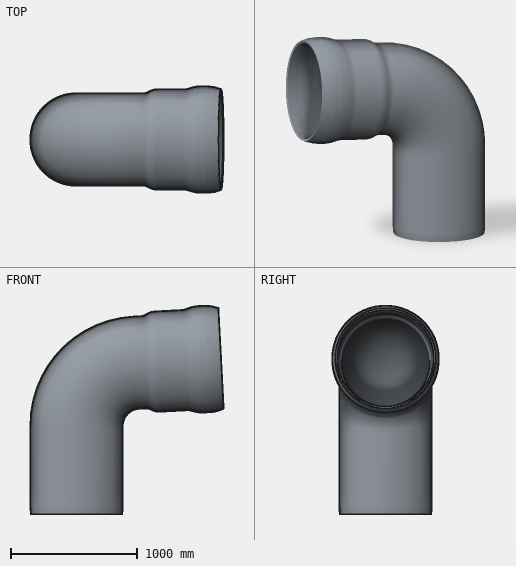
import cadquery as cq
import math

pipe_radius = 365.0
wall = 16.0
straight_length = 699.0
bend_radius = 497.0
bend_angle = 87.0

lead_in_height = 56.0
lead_in_depth = 5.0
lead_in_blend = 5.0

socket_radius = 396.0
bulge_radius = 421.0
mouth_radius = 396.0

neck_start = 60.0
neck_inflection = 102.0
neck_end = 166.0
bulge_start = 380.0
bulge_inflection = 423.0
crest_start = 510.0
crest_end = 558.0
mouth = 670.0
rim_recess = 7.0


def ease_out_arc(profile, start, end):
    """Add an arc that leaves `start` parallel to the axis and ends at `end`."""
    return profile.threePointArc(arc_middle(start, end), end)


def ease_in_arc(profile, start, end):
    """Add an arc from `start` that arrives at `end` parallel to the axis."""
    return profile.threePointArc(arc_middle(end, start), end)


def arc_middle(level_end, other_end):
    """Midpoint of an arc whose tangent at `level_end` is parallel to the axis.

    Points are (radius, station).
    """
    rise = other_end[0] - level_end[0]
    run = other_end[1] - level_end[1]
    sweep = 2 * math.atan2(abs(rise), abs(run))
    arc_radius = abs(run) / math.sin(sweep)
    half_rise = math.copysign(arc_radius * (1 - math.cos(sweep / 2)), rise)
    half_run = math.copysign(arc_radius * math.sin(sweep / 2), run)
    return (level_end[0] + half_rise, level_end[1] + half_run)


def inflection_radius(radius_before, radius_after, start, inflection, end):
    """Radius where the two arcs of a smooth step meet with a common tangent."""
    return radius_before + (radius_after - radius_before) * (inflection - start) / (end - start)


def socket_core(inset, recess=0):
    """Solid of revolution about Z bounded by the socket's outer surface moved inwards by `inset`.

    A `recess` ends the inset surface that far before the mouth, followed by a cone out to the mouth's edge.
    """
    neck_radius = inflection_radius(pipe_radius, socket_radius, neck_start, neck_inflection, neck_end)
    flare_radius = inflection_radius(
        socket_radius, bulge_radius, bulge_start, bulge_inflection, crest_start
    )
    pipe_edge = (pipe_radius - inset, neck_start)
    neck_middle = (neck_radius - inset, neck_inflection)
    neck_edge = (socket_radius - inset, neck_end)
    bulge_edge = (socket_radius - inset, bulge_start)
    bulge_middle = (flare_radius - inset, bulge_inflection)
    crest_edge = (bulge_radius - inset, crest_start)
    crest_far_edge = (bulge_radius - inset, crest_end)
    mouth_edge = (mouth_radius - inset, mouth - recess)

    profile = cq.Workplane("XZ").lineTo(pipe_radius - inset, 0).lineTo(*pipe_edge)
    profile = ease_out_arc(profile, pipe_edge, neck_middle)
    profile = ease_in_arc(profile, neck_middle, neck_edge)
    profile = profile.lineTo(*bulge_edge)
    profile = ease_out_arc(profile, bulge_edge, bulge_middle)
    profile = ease_in_arc(profile, bulge_middle, crest_edge)
    profile = profile.lineTo(*crest_far_edge)
    profile = ease_out_arc(profile, crest_far_edge, mouth_edge)
    if recess > 0:
        profile = profile.lineTo(mouth_radius, mouth)
    return profile.lineTo(0, mouth).close().revolve(360, (0, 0, 0), (0, 1, 0))


def make_straight():
    """Plain vertical pipe with the tapered lead-in at its lower end."""
    inner_radius = pipe_radius - wall
    taper = lead_in_depth / (lead_in_height - lead_in_blend / 2)
    blend_start = (pipe_radius - taper * lead_in_blend / 2, lead_in_height - lead_in_blend)
    blend_end = (pipe_radius, lead_in_height)
    return (
        cq.Workplane("XZ")
        .moveTo(inner_radius, 0)
        .lineTo(pipe_radius - lead_in_depth, 0)
        .lineTo(*blend_start)
        .threePointArc(arc_middle(blend_end, blend_start), blend_end)
        .lineTo(pipe_radius, straight_length)
        .lineTo(inner_radius, straight_length)
        .close()
        .revolve(360, (0, 0, 0), (0, 1, 0))
    )


def make_bend():
    """Toroidal bend that turns the pipe from +Z towards +X."""
    return (
        cq.Workplane("XY", origin=(0, 0, straight_length))
        .circle(pipe_radius)
        .circle(pipe_radius - wall)
        .revolve(bend_angle, (bend_radius, 0, 0), (bend_radius, 1, 0))
    )


def make_socket():
    """Socket placed on the far end of the bend."""
    socket = socket_core(0).cut(socket_core(wall, rim_recess))
    bend_centre = (bend_radius, 0, straight_length)
    bend_axis_end = (bend_radius, 1, straight_length)
    return socket.translate((0, 0, straight_length)).rotate(bend_centre, bend_axis_end, bend_angle)


def make_elbow():
    return make_straight().union(make_bend()).union(make_socket())


elbow = make_elbow()

result = cq.Compound.makeCompound([elbow.val()])